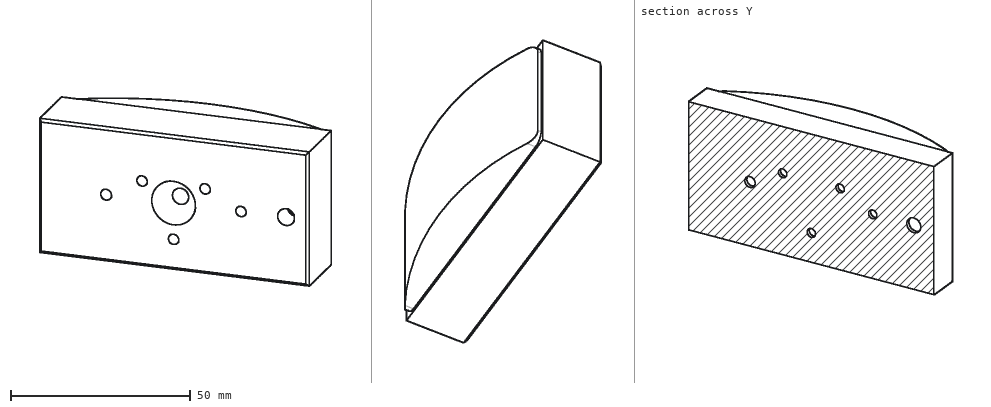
import cadquery as cq
import math

BLOCK_LENGTH = 80.0
BLOCK_HEIGHT = BLOCK_LENGTH / 2
BLOCK_DEPTH = 19.0
RIM_CHAMFER = 0.8

BALL_RADIUS = 6.5
BALL_LEAD = 0.25
BALL_FLAT_RADIUS = 2.4

DRILL_TIP_ANGLE = 118.0
HOLE_DEPTH = 10.0
PLAIN_HOLE_DIAMETER = 3.2
THREAD_DIAMETER = 3.05
THREAD_DEPTH = 8.0
PILOT_DIAMETER = 2.6
SIDE_HOLE_OFFSET = BLOCK_LENGTH / 4
SCREW_CIRCLE_RADIUS = 10.8
SCREW_CIRCLE_ANGLES = (30.0, 150.0, 270.0)

STEPPED_HOLE_X = 33.4
STEPPED_MOUTH_DIAMETER = 5.0
STEPPED_MOUTH_DEPTH = 8.0
STEPPED_BORE_DIAMETER = 4.4

PAD_LENGTH = 78.0
PAD_HEIGHT = BLOCK_HEIGHT - (BLOCK_LENGTH - PAD_LENGTH)
PAD_CORNER_RADIUS = 3.2
PAD_EDGE_THICKNESS = 1.05
PAD_CROWN_RADIUS = BLOCK_LENGTH


def drill_tip_length(radius):
    return radius / math.tan(math.radians(DRILL_TIP_ANGLE / 2))


def revolved_cut(outline, x, z):
    """Turn a closed (radius, depth) outline about the axis through (x, z) that runs into the block."""
    return outline.close().revolve(360, (0, 0), (0, 1)).translate((x, 0, z))


def plain_hole(x, z):
    radius = PLAIN_HOLE_DIAMETER / 2
    tip_depth = HOLE_DEPTH + drill_tip_length(radius)
    points = [(0, 0), (radius, 0), (radius, HOLE_DEPTH), (0, tip_depth)]
    return revolved_cut(cq.Workplane("XY").polyline(points), x, z)


def screw_hole(x, z):
    thread = THREAD_DIAMETER / 2
    pilot = PILOT_DIAMETER / 2
    tip_depth = HOLE_DEPTH + drill_tip_length(pilot)
    points = [
        (0, 0),
        (thread, 0),
        (thread, THREAD_DEPTH),
        (pilot, THREAD_DEPTH),
        (pilot, HOLE_DEPTH),
        (0, tip_depth),
    ]
    return revolved_cut(cq.Workplane("XY").polyline(points), x, z)


def stepped_hole(x, z):
    mouth = STEPPED_MOUTH_DIAMETER / 2
    bore = STEPPED_BORE_DIAMETER / 2
    points = [
        (0, 0),
        (mouth, 0),
        (mouth, STEPPED_MOUTH_DEPTH),
        (bore, STEPPED_MOUTH_DEPTH),
        (bore, HOLE_DEPTH),
        (0, HOLE_DEPTH),
    ]
    return revolved_cut(cq.Workplane("XY").polyline(points), x, z)


def ball_recess():
    """Half ball with a flattened end, shifted forward so that its centre is in front of the face."""
    flat_depth = math.sqrt(BALL_RADIUS**2 - BALL_FLAT_RADIUS**2)
    middle_angle = math.asin(flat_depth / BALL_RADIUS) / 2
    arc_middle = (BALL_RADIUS * math.cos(middle_angle), BALL_RADIUS * math.sin(middle_angle))
    outline = (
        cq.Workplane("XY")
        .lineTo(BALL_RADIUS, 0)
        .threePointArc(arc_middle, (BALL_FLAT_RADIUS, flat_depth))
        .lineTo(0, flat_depth)
    )
    return revolved_cut(outline, 0, 0).translate((0, -BALL_LEAD, 0))


def make_block():
    block = (
        cq.Workplane("XY")
        .box(BLOCK_LENGTH, BLOCK_DEPTH, BLOCK_HEIGHT, centered=(True, False, True))
        .faces("<Y")
        .chamfer(RIM_CHAMFER)
    )
    block = block.cut(ball_recess())
    block = block.cut(plain_hole(-SIDE_HOLE_OFFSET, 0))
    block = block.cut(screw_hole(SIDE_HOLE_OFFSET, 0))
    for angle in SCREW_CIRCLE_ANGLES:
        x = SCREW_CIRCLE_RADIUS * math.cos(math.radians(angle))
        z = SCREW_CIRCLE_RADIUS * math.sin(math.radians(angle))
        block = block.cut(screw_hole(x, z))
    return block.cut(stepped_hole(STEPPED_HOLE_X, 0))


def make_pad():
    half_length = PAD_LENGTH / 2
    crown_rise = PAD_CROWN_RADIUS - math.sqrt(PAD_CROWN_RADIUS**2 - half_length**2)
    edge_y = BLOCK_DEPTH + PAD_EDGE_THICKNESS
    return (
        cq.Workplane("XY")
        .moveTo(-half_length, BLOCK_DEPTH)
        .lineTo(half_length, BLOCK_DEPTH)
        .lineTo(half_length, edge_y)
        .threePointArc((0, edge_y + crown_rise), (-half_length, edge_y))
        .close()
        .extrude(PAD_HEIGHT / 2, both=True)
        .edges("|Y")
        .fillet(PAD_CORNER_RADIUS)
    )


block = make_block()
pad = make_pad()
result = cq.Compound.makeCompound([block.val(), pad.val()])